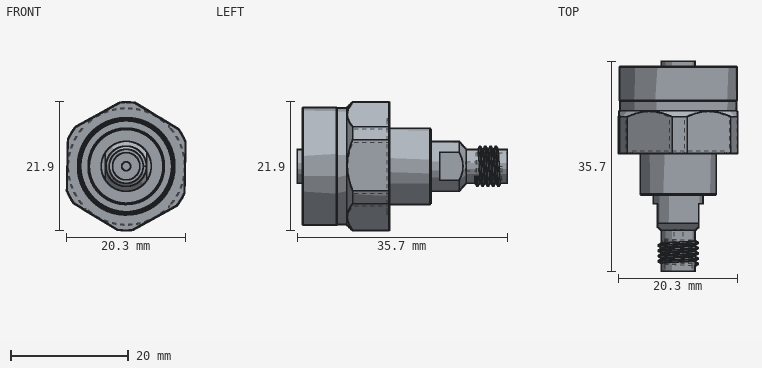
import cadquery as cq

total_length = 35.7
neck_end = 6.95
cone_end = 8.18
flat_end = 11.45
body_front = 12.92
nut_front = 20.0
nut_rear_corner = 26.28
step_station = 28.88
collar_rear = 34.85

neck_radius = 2.9
shank_radius = 4.25
body_radius = 6.5
nut_corner_diameter = 21.9
nut_corner_radius = nut_corner_diameter / 2
collar_radius = 10.0
rim_radius = 9.92

body_chamfer = 0.25
nut_chamfer = 0.1
collar_chamfer = 0.18
step_length = 0.18

nut_across_flats = 20.1
nut_turn = 1.2

wrench_across_flats = 7.05

groove_inner_radius = 7.7
groove_outer_radius = 8.3
groove_inner_slope = 0.2
groove_outer_slope = 0.18
groove_depth = 0.5

socket_radius = 2.32
socket_depth = 5.35
contact_radius = 0.75
contact_depth = 1.8

thread_radius = 3.43
thread_pitch = 0.9
thread_start = 1.3
thread_turns = 4.4
thread_root_width = 0.7
thread_crest_width = 0.1
thread_overlap = 0.07


def revolve_about_axis(points):
    """Turn an outline of (radius, station) points about the Y axis."""
    return cq.Workplane("XY").polyline(points).close().revolve(360, (0, 0, 0), (0, 1, 0))


def axial_cylinder(radius, start, length):
    """Cylinder along +Y starting at the given station."""
    return cq.Workplane("XZ", origin=(0, start, 0)).circle(radius).extrude(-length)


def make_turned_body():
    """Neck, cone, shank, body, collar and rear stub."""
    return revolve_about_axis([
        (0, 0),
        (neck_radius, 0),
        (neck_radius, neck_end),
        (shank_radius, cone_end),
        (shank_radius, body_front),
        (body_radius - body_chamfer, body_front),
        (body_radius, body_front + body_chamfer),
        (body_radius, nut_front),
        (rim_radius, nut_front),
        (rim_radius, step_station),
        (collar_radius, step_station + step_length),
        (collar_radius, collar_rear - collar_chamfer),
        (collar_radius - collar_chamfer, collar_rear),
        (neck_radius, collar_rear),
        (neck_radius, total_length),
        (0, total_length),
    ])


def make_nut():
    """Hexagon with rounded corners and a 45-degree cone at its rear."""
    nut_rear = nut_rear_corner + nut_corner_radius - rim_radius
    hexagon = (
        cq.Workplane("XZ", origin=(0, nut_front, 0))
        .polygon(6, nut_across_flats, circumscribed=True)
        .extrude(nut_front - nut_rear)
        .rotate((0, 0, 0), (0, 1, 0), nut_turn)
    )
    corner_cylinder = axial_cylinder(nut_corner_radius, nut_front, nut_rear - nut_front)
    prism = hexagon.intersect(corner_cylinder).faces("<Y").chamfer(nut_chamfer)
    rear_cone = revolve_about_axis([
        (0, nut_front),
        (nut_corner_radius, nut_front),
        (nut_corner_radius, nut_rear_corner),
        (rim_radius, nut_rear),
        (0, nut_rear),
    ])
    return prism.intersect(rear_cone)


def make_nut_groove():
    """Ring-shaped groove in the front face of the nut."""
    groove_floor = nut_front + groove_depth
    return revolve_about_axis([
        (groove_inner_radius, nut_front),
        (groove_outer_radius, nut_front),
        (groove_outer_radius - groove_outer_slope, groove_floor),
        (groove_inner_radius + groove_inner_slope, groove_floor),
    ])


def make_wrench_cuts():
    """Blocks that leave two flats facing +X and -X on the shank."""
    flat_depth = shank_radius - wrench_across_flats / 2
    block_offset = wrench_across_flats / 2 + flat_depth / 2
    return (
        cq.Workplane("XY", origin=(0, (neck_end + flat_end) / 2, 0))
        .pushPoints([(-block_offset, 0), (block_offset, 0)])
        .box(flat_depth, flat_end - neck_end, 2 * shank_radius)
    )


def make_thread():
    """Trapezoidal ridge wound around the neck, starting on the +X side."""
    base_radius = neck_radius - thread_overlap
    flank_slope = (thread_root_width - thread_crest_width) / (thread_radius - neck_radius)
    base_half_width = thread_root_width / 2 + flank_slope * thread_overlap / 2
    crest_half_width = thread_crest_width / 2
    helix = cq.Wire.makeHelix(thread_pitch, thread_pitch * thread_turns, neck_radius)
    ridge = (
        cq.Workplane("XZ")
        .polyline([
            (base_radius, -base_half_width),
            (thread_radius, -crest_half_width),
            (thread_radius, crest_half_width),
            (base_radius, base_half_width),
        ])
        .close()
        .sweep(cq.Workplane(obj=helix), isFrenet=True)
    )
    return ridge.rotate((0, 0, 0), (1, 0, 0), -90).translate((0, thread_start, 0))


result = (
    make_turned_body()
    .union(make_nut())
    .cut(make_nut_groove())
    .cut(make_wrench_cuts())
    .union(make_thread())
    .cut(axial_cylinder(socket_radius, 0, socket_depth))
    .cut(axial_cylinder(contact_radius, socket_depth, contact_depth))
)